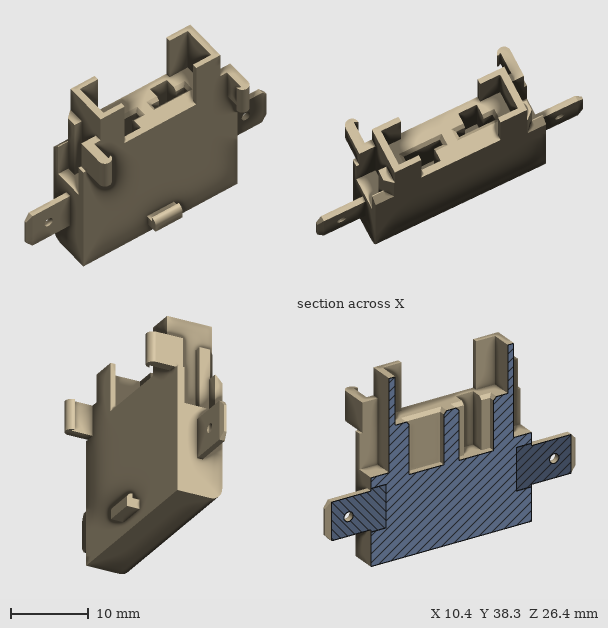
import cadquery as cq


body_width = 6.6
body_length = 24.6
body_end = body_length / 2
shoulder_height = 18.0
bottom_radius = 1.75
shoulder_chamfer = 0.95

total_height = 26.4
core_end = 9.55
deck_height = 19.45
guard_side_wall = 0.73
guard_end_wall = 0.95
guard_inner_end = 5.7

recess_left = 1.07
recess_right = 5.55
recess_floor = 12.85
clip_top = 22.4
lug_start = 9.62
lug_end = 10.7
lug_right = 2.45
clip_tip_radius = 0.92
clip_reach = 10.4
clip_outer = 11.9
clip_thickness = 1.3
barb_undercut = 0.25

hook_width = 4.3
hook_bottom = 1.75
hook_arm_top = 3.1
hook_tip_top = 3.75
hook_reach = 8.47
hook_tip_radius = 0.85

socket_depth = 7.65
socket_center_y = 3.8
socket_width = 0.8
socket_length = 5.25
lead_in = 0.45
window_width = 2.7
window_wall = 0.92

terminal_x = body_width / 2
terminal_z = 8.13
terminal_reach = 19.15
root_thickness = 1.25
root_height = 6.17
root_depth = 2.3
blade_thickness = 0.8
blade_height = 5.65
tip_length = 0.85
tip_thickness = 0.4
tip_height = 3.85
eye_diameter = 1.35
eye_y = 15.7


def box(x_range, y_range, z_range):
    """Axis-aligned box between pairs of limits."""
    (x0, x1), (y0, y1), (z0, z1) = x_range, y_range, z_range
    return cq.Workplane("XY").box(x1 - x0, y1 - y0, z1 - z0, centered=False).translate((x0, y0, z0))


def mirrored_pair(end_feature):
    """A feature of the +Y end together with its mirror image at the -Y end."""
    return [end_feature, end_feature.mirror("XZ")]


def make_block():
    """Lower block with a rounded bottom edge and a chamfered shoulder, both on the -X side."""
    block = box((0, body_width), (-body_end, body_end), (0, shoulder_height))
    return block.edges("<X and <Z").fillet(bottom_radius).edges("<X and >Z").chamfer(shoulder_chamfer)


def make_core():
    """Middle block whose top is cut down to the deck, leaving a U-shaped guard at each end."""
    core = box((0, body_width), (-core_end, core_end), (shoulder_height - shoulder_chamfer, total_height))
    guard_inside = core_end - guard_end_wall
    well = box(
        (guard_side_wall, body_width - guard_side_wall),
        (-guard_inside, guard_inside),
        (deck_height, total_height),
    )
    gap = box((0, body_width), (-guard_inner_end, guard_inner_end), (deck_height, total_height))
    return core.cut(well).cut(gap)


def make_recess():
    """Open-topped pocket in the +Y end of the block."""
    return box((recess_left, recess_right), (core_end, body_end), (recess_floor, shoulder_height))


def make_lug():
    """Vertical key with one slanted side, standing in the recess."""
    key = [(recess_left, core_end), (recess_left, lug_end), (lug_right, lug_end), (lug_right, core_end)]
    slanted_key = [
        (0, core_end),
        (0, lug_start),
        (shoulder_chamfer, lug_end),
        (lug_right, lug_end),
        (lug_right, core_end),
    ]
    low_z = shoulder_height - shoulder_chamfer
    lower = cq.Workplane("XY").workplane(offset=recess_floor).polyline(key).close()
    upper = cq.Workplane("XY").workplane(offset=low_z).polyline(slanted_key).close()
    return lower.extrude(clip_top - recess_floor).union(upper.extrude(clip_top - low_z))


def make_clip():
    """Side clip: a wall beside the recess and an arm with a half-round tip and an undercut barb."""
    tip_x = clip_reach - clip_tip_radius
    arm_inner = clip_outer - clip_thickness
    outline = (
        cq.Workplane("XY")
        .workplane(offset=shoulder_height)
        .moveTo(recess_right, core_end)
        .lineTo(recess_right, clip_outer)
        .lineTo(tip_x, clip_outer)
        .threePointArc(
            (clip_reach, clip_outer - clip_tip_radius),
            (tip_x, clip_outer - 2 * clip_tip_radius),
        )
        .lineTo(tip_x + barb_undercut, arm_inner)
        .lineTo(body_width, arm_inner)
        .lineTo(body_width, core_end)
        .close()
    )
    return outline.extrude(clip_top - shoulder_height)


def make_hook():
    """Hook on the +X side with an upward barb rounded on its outer corner."""
    barb_x = hook_reach - hook_tip_radius
    outline = (
        cq.Workplane("XZ")
        .moveTo(body_width, hook_bottom)
        .lineTo(hook_reach, hook_bottom)
        .lineTo(hook_reach, hook_tip_top - hook_tip_radius)
        .radiusArc((barb_x, hook_tip_top), -hook_tip_radius)
        .lineTo(barb_x, hook_arm_top)
        .lineTo(body_width, hook_arm_top)
        .close()
    )
    return outline.extrude(hook_width / 2, both=True)


def make_socket():
    """Cutter for the +Y fuse socket: a slot with a sloped lead-in and a window toward -X."""
    deck = cq.Workplane("XY").workplane(offset=deck_height).center(terminal_x, socket_center_y)
    slot = deck.rect(socket_width, socket_length).extrude(-socket_depth)
    mouth = (
        deck.rect(socket_width + 2 * lead_in, socket_length + 2 * lead_in)
        .workplane(offset=-lead_in)
        .rect(socket_width, socket_length)
        .loft(combine=True)
    )
    window = box(
        (window_wall, terminal_x),
        (socket_center_y - window_width / 2, socket_center_y + window_width / 2),
        (deck_height - socket_depth, deck_height),
    )
    return slot.union(mouth).union(window)


def make_root():
    """Thick base of the +Y terminal, flush with the end face of the housing."""
    return box(
        (terminal_x - root_thickness / 2, terminal_x + root_thickness / 2),
        (body_end - root_depth, body_end),
        (terminal_z - root_height / 2, terminal_z + root_height / 2),
    )


def tapered_outline(plane, center, size, tip_size):
    """Blade outline along +Y that narrows evenly from size to tip_size over the tip."""
    half, tip_half = size / 2, tip_size / 2
    tip_start = terminal_reach - tip_length
    side = [(half, body_end), (half, tip_start), (tip_half, terminal_reach)]
    other_side = [(-offset, y) for offset, y in reversed(side)]
    points = [(center + offset, y) for offset, y in side + other_side]
    if plane == "YZ":
        points = [(y, across) for across, y in points]
    return cq.Workplane(plane).polyline(points).close()


def make_terminal():
    """Terminal of the +Y end: root plus a flat blade with a tapered tip and an eye."""
    side_profile = tapered_outline("YZ", terminal_z, blade_height, tip_height).extrude(body_width)
    plan_profile = tapered_outline("XY", terminal_x, blade_thickness, tip_thickness).extrude(shoulder_height)
    blade = side_profile.intersect(plan_profile)
    eye = cq.Workplane("YZ").center(eye_y, terminal_z).circle(eye_diameter / 2).extrude(body_width)
    return make_root().union(blade).cut(eye)


def make_housing():
    housing = make_block()
    for recess in mirrored_pair(make_recess()):
        housing = housing.cut(recess)
    housing = housing.union(make_core())
    for end_feature in (make_lug(), make_clip()):
        for feature in mirrored_pair(end_feature):
            housing = housing.union(feature)
    housing = housing.union(make_hook())

    socket = make_socket()
    middle = (terminal_x, 0, 0)
    middle_above = (terminal_x, 0, 1)
    for angle in (0, 180):
        housing = housing.cut(socket.rotate(middle, middle_above, angle))

    for root in mirrored_pair(make_root()):
        housing = housing.cut(root)
    return housing


housing = make_housing()
terminals = mirrored_pair(make_terminal())

result = cq.Compound.makeCompound([housing.val(), *[terminal.val() for terminal in terminals]])